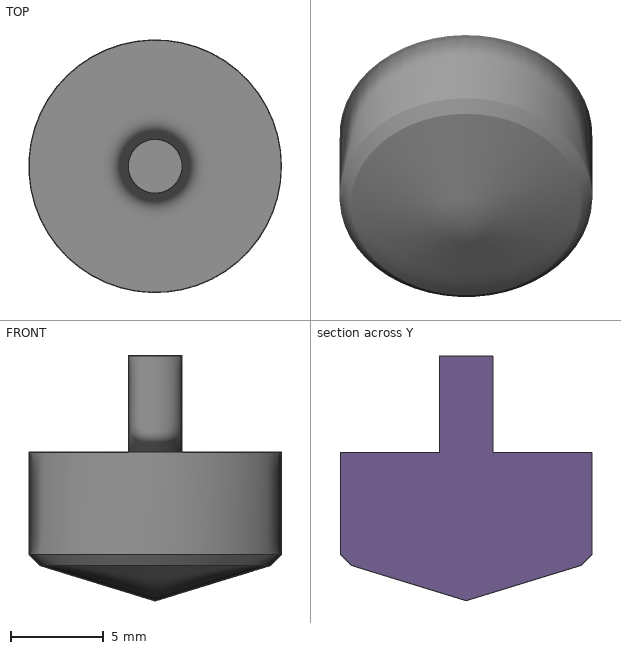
import cadquery as cq

body_diameter = 13.6
stem_diameter = 2.9
total_height = 13.2

cone_height = 1.9
chamfer_size = 0.6
wall_height = 5.51

body_radius = body_diameter / 2
stem_radius = stem_diameter / 2
cone_radius = body_radius - chamfer_size

chamfer_top = cone_height + chamfer_size
body_top = chamfer_top + wall_height

half_section = (
    cq.Workplane("XZ")
    .moveTo(0, 0)
    .lineTo(cone_radius, cone_height)
    .lineTo(body_radius, chamfer_top)
    .lineTo(body_radius, body_top)
    .lineTo(stem_radius, body_top)
    .lineTo(stem_radius, total_height)
    .lineTo(0, total_height)
    .close()
)

result = half_section.revolve(360, (0, 0, 0), (0, 1, 0))